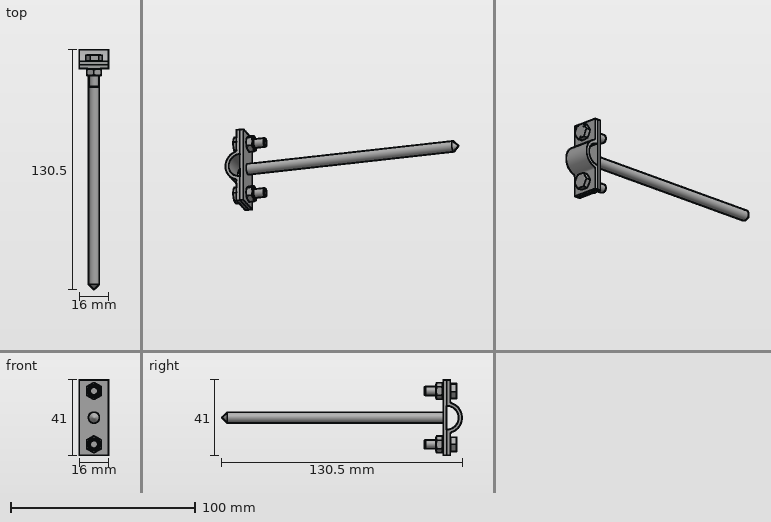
import cadquery as cq
import math

total_length = 130.5
plate_width = 16.0
plate_height = 41.0
plate_thickness = 2.0

saddle_top = 8.4
bend_inner_radius = saddle_top - plate_thickness
bend_root_fillet = 1.0

rod_diameter = 6.0
rod_radius = rod_diameter / 2
rod_tip_length = rod_radius
rod_tip_y = saddle_top - total_length

bolt_spacing = 29.0
bolt_diameter = 5.0
bolt_end_diameter = 4.2
bolt_end_chamfer_length = 0.7
bolt_end_y = -12.1
hex_across_flats = 8.0
hex_across_corners = hex_across_flats / math.cos(math.radians(30))
head_height = 3.5
nut_height = 4.0
hex_face_diameter = 6.7
head_chamfer_depth = 0.4
nut_chamfer_depth = 0.7
upper_head_turn = 5.0
lower_head_turn = 0.0
bolts = [
    (bolt_spacing / 2, upper_head_turn),
    (-bolt_spacing / 2, lower_head_turn),
]


def rod_along_y(diameter, start_y, end_y, z=0.0):
    """Cylinder running toward -Y from start_y to end_y."""
    section = cq.Workplane("XZ", origin=(0, start_y, z)).circle(diameter / 2)
    return section.extrude(start_y - end_y)


def hexagon_along_y(start_y, end_y, z, turn):
    """Hexagonal prism toward -Y; at zero turn two corners point along X."""
    section = cq.Workplane("XZ", origin=(0, start_y, z)).polygon(6, hex_across_corners)
    return section.extrude(start_y - end_y).rotate((0, 0, z), (0, 1, z), turn)


def hex_corner_trim(start_y, end_y, z, chamfer_depth):
    """Round envelope whose coned ends bevel the corners of a hexagon."""
    face_radius = hex_face_diameter / 2
    corner_radius = hex_across_corners / 2
    profile = (
        cq.Workplane("XY")
        .moveTo(0, start_y)
        .lineTo(face_radius, start_y)
        .lineTo(corner_radius, start_y - chamfer_depth)
        .lineTo(corner_radius, end_y + chamfer_depth)
        .lineTo(face_radius, end_y)
        .lineTo(0, end_y)
        .close()
    )
    return profile.revolve(360, (0, 0), (0, 1)).translate((0, 0, z))


def beveled_hexagon(start_y, end_y, z, turn, chamfer_depth):
    hexagon = hexagon_along_y(start_y, end_y, z, turn)
    return hexagon.intersect(hex_corner_trim(start_y, end_y, z, chamfer_depth))


def drill_bolt_holes(plate):
    for z, _ in bolts:
        plate = plate.cut(rod_along_y(bolt_diameter, plate_thickness, -plate_thickness, z))
    return plate


def make_back_plate():
    plate = cq.Workplane("XY").box(plate_width, plate_thickness, plate_height)
    return drill_bolt_holes(plate.translate((0, -plate_thickness / 2, 0)))


def make_saddle():
    half_height = plate_height / 2
    outer_z = math.sqrt(saddle_top**2 - plate_thickness**2)
    saddle = (
        cq.Workplane("YZ")
        .moveTo(0, half_height)
        .lineTo(plate_thickness, half_height)
        .lineTo(plate_thickness, outer_z)
        .threePointArc((saddle_top, 0), (plate_thickness, -outer_z))
        .lineTo(plate_thickness, -half_height)
        .lineTo(0, -half_height)
        .lineTo(0, -bend_inner_radius)
        .threePointArc((bend_inner_radius, 0), (0, bend_inner_radius))
        .close()
        .extrude(plate_width / 2, both=True)
    )
    selection_margin = 0.1
    root_edges = cq.selectors.BoxSelector(
        (-plate_width, plate_thickness - selection_margin, -outer_z - selection_margin),
        (plate_width, plate_thickness + selection_margin, outer_z + selection_margin),
    )
    saddle = saddle.edges("|X").edges(root_edges).fillet(bend_root_fillet)
    return drill_bolt_holes(saddle)


def make_rod():
    profile = (
        cq.Workplane("XY")
        .moveTo(0, -plate_thickness)
        .lineTo(rod_radius, -plate_thickness)
        .lineTo(rod_radius, rod_tip_y + rod_tip_length)
        .lineTo(0, rod_tip_y)
        .close()
    )
    return profile.revolve(360, (0, 0), (0, 1))


def make_bolt(z, head_turn):
    head_top_y = plate_thickness + head_height
    head = beveled_hexagon(head_top_y, plate_thickness, z, head_turn, head_chamfer_depth)
    shank = rod_along_y(bolt_diameter, plate_thickness, bolt_end_y, z)
    end_inset = (bolt_diameter - bolt_end_diameter) / 2
    shank = shank.faces("<Y").edges().chamfer(bolt_end_chamfer_length, end_inset)
    return head.union(shank)


def make_nut(z):
    start_y = -plate_thickness
    end_y = start_y - nut_height
    corner_along_z = 90.0
    nut = beveled_hexagon(start_y, end_y, z, corner_along_z, nut_chamfer_depth)
    return nut.cut(rod_along_y(bolt_diameter, start_y, end_y, z))


saddle = make_saddle()
back_plate = make_back_plate()
rod = make_rod()
bolt_solids = [make_bolt(z, turn).val() for z, turn in bolts]
nut_solids = [make_nut(z).val() for z, _ in bolts]

result = cq.Compound.makeCompound(
    [saddle.val(), back_plate.val(), rod.val(), *bolt_solids, *nut_solids]
)